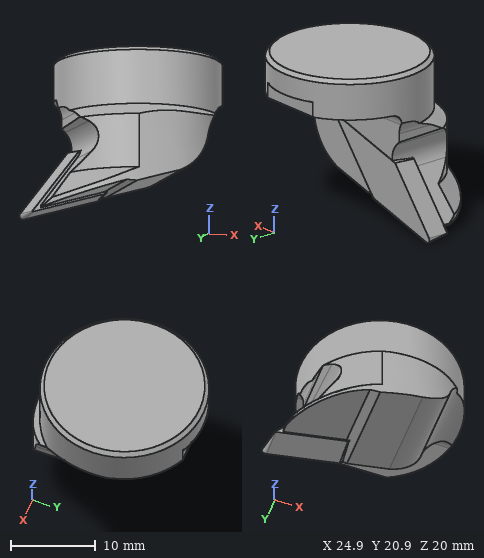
import cadquery as cq
import math


head_radius = 9.997
head_chamfer = 0.5
head_bottom_z = -7.0
neck_radius = 11.5
neck_top_z = head_bottom_z - (neck_radius - head_radius)
skirt_top_z = -14.95
skirt_bottom_z = -19.92
skirt_angle = 36.5
skirt_radius = neck_radius + (skirt_top_z - skirt_bottom_z) * math.tan(math.radians(skirt_angle))

nose_end = (-13.35, -4.25)
right_end = (9.35, -1.57)
front_y = -10.919
plan_curve = [
    nose_end,
    (-10.2, -8.62),
    (-6.8, -10.43),
    (-3.69, -10.88),
    (-1.87, front_y),
    (0.5, -10.83),
    (4.23, -9.94),
    (6.82, -7.97),
    right_end,
]
plan_back_y = 2.5

tip_pivot = (-14.95, 0.0)
rake_angle = 2.3
seat_floor_z = -4.98
seat_fillet = 1.4
back_flat_y = 9.06
back_flat_top_z = -3.11

groove_radius = 2.71
groove_x, groove_z = -10.98, -11.05
groove_lip_angle = 47.0
relief_angle = 52.8
wall_x = -9.54
wall_top_z = -7.57
wall_blend_radius = 2.3

insert_side = 11.25
insert_thickness = 3.19
insert_tip_radius = 0.45
insert_clearance = 7.0
insert_tip_angle = 35.0
bottom_edge_angle = 17.2
left_edge_angle = bottom_edge_angle + insert_tip_angle
tip_centre_x, tip_centre_z = -14.455, -19.55

reach = 29.88


def polar(x, z, length, angle):
    """Point at a length and angle in degrees from (x, z)."""
    a = math.radians(angle)
    return (x + length * math.cos(a), z + length * math.sin(a))


def turn_to_rake(shape):
    """Turn a shape built square to the axes into the frame of the rake face."""
    return shape.rotate((*tip_pivot, 0), (*tip_pivot, 1), rake_angle)


def through_y(outline):
    """Extrude an XZ outline right through the part along Y."""
    return outline.extrude(reach, both=True)


def make_head():
    head = cq.Workplane("XY").circle(head_radius).extrude(head_bottom_z)
    return head.faces(">Z").edges().chamfer(head_chamfer)


def make_neck():
    """Flared, then straight, then conical turned neck, trimmed to its plan outline."""
    turned = (
        cq.Workplane("XZ")
        .moveTo(0, head_bottom_z)
        .lineTo(head_radius, head_bottom_z)
        .lineTo(neck_radius, neck_top_z)
        .lineTo(neck_radius, skirt_top_z)
        .lineTo(skirt_radius, skirt_bottom_z)
        .lineTo(0, skirt_bottom_z)
        .close()
        .revolve(360, (0, 0), (0, 1))
    )
    plan = (
        cq.Workplane("XY")
        .moveTo(nose_end[0], plan_back_y)
        .lineTo(*nose_end)
        .spline(plan_curve[1:], includeCurrent=True)
        .lineTo(right_end[0], plan_back_y)
        .close()
        .extrude(skirt_bottom_z)
    )
    return turned.intersect(plan)


def lower_right_cut():
    """Everything below the S-shaped right side and the sloping underside."""
    step_right = (-3.98, -16.58)
    step_left = (-5.23, -16.53)
    underside_end = (nose_end[0], -19.05)
    return through_y(
        cq.Workplane("XZ")
        .moveTo(head_radius, seat_floor_z)
        .threePointArc((7.85, -6.32), (5.6, -9.84))
        .threePointArc((4.0, -13.1), (1.4, skirt_top_z))
        .lineTo(*step_right)
        .lineTo(*step_left)
        .lineTo(*underside_end)
        .lineTo(nose_end[0], -reach)
        .lineTo(reach, -reach)
        .lineTo(reach, seat_floor_z)
        .close()
    )


def wall_cut():
    """Upright wall on the left, blended into the head."""
    blend_x = wall_x - wall_blend_radius
    return through_y(
        cq.Workplane("XZ")
        .moveTo(blend_x, wall_top_z + wall_blend_radius)
        .threePointArc(polar(blend_x, wall_top_z, wall_blend_radius, 45), (wall_x, wall_top_z))
        .lineTo(wall_x, groove_z)
        .lineTo(blend_x, groove_z)
        .close()
    )


def groove_cut():
    """Chip groove with a straight lip above it and a sloping relief below, both tangent to its arc."""
    lip_end = polar(groove_x, groove_z, groove_radius, groove_lip_angle)
    lip_start = polar(*lip_end, groove_radius, groove_lip_angle + 90)
    relief_start = polar(groove_x, groove_z, groove_radius, relief_angle - 90)
    relief_end = polar(*relief_start, -reach, relief_angle)
    return turn_to_rake(through_y(
        cq.Workplane("XZ")
        .moveTo(*lip_start)
        .lineTo(*lip_end)
        .threePointArc((groove_x + groove_radius, groove_z), relief_start)
        .lineTo(*relief_end)
        .lineTo(-reach, relief_end[1])
        .lineTo(-reach, lip_start[1])
        .close()
    ))


def seat_cut():
    """Space behind the rake face, with a rounded corner under the head."""
    block = cq.Workplane("XY").box(2 * reach, reach, reach, centered=(True, False, False))
    block = block.translate((0, 0, seat_floor_z - reach))
    return turn_to_rake(block.edges("<Y and >Z").fillet(seat_fillet))


def back_flat_cut():
    block = cq.Workplane("XY").box(2 * reach, reach, reach, centered=(True, False, False))
    return block.translate((0, back_flat_y, back_flat_top_z - reach))


def make_insert():
    half_angle = insert_tip_angle / 2
    tip_offset = insert_tip_radius / math.sin(math.radians(half_angle))
    tip = polar(tip_centre_x, tip_centre_z, -tip_offset, bottom_edge_angle + half_angle)
    bottom_corner = polar(*tip, insert_side, bottom_edge_angle)
    top_corner = polar(*tip, insert_side, left_edge_angle)
    far_corner = polar(*bottom_corner, insert_side, left_edge_angle)
    arc_start = polar(tip_centre_x, tip_centre_z, insert_tip_radius, left_edge_angle + 90)
    arc_middle = polar(tip_centre_x, tip_centre_z, -insert_tip_radius, bottom_edge_angle + half_angle)
    arc_end = polar(tip_centre_x, tip_centre_z, insert_tip_radius, bottom_edge_angle - 90)
    return turn_to_rake(
        cq.Workplane("XZ")
        .moveTo(*arc_start)
        .threePointArc(arc_middle, arc_end)
        .lineTo(*bottom_corner)
        .lineTo(*far_corner)
        .lineTo(*top_corner)
        .close()
        .extrude(insert_thickness, taper=insert_clearance)
    )


def make_holder(insert):
    holder = make_head().union(make_neck())
    for cutter in (lower_right_cut(), wall_cut(), groove_cut(), seat_cut(), back_flat_cut()):
        holder = holder.cut(cutter)
    return holder.cut(insert)


insert = make_insert()
holder = make_holder(insert)
result = cq.Compound.makeCompound([*holder.vals(), insert.val()])